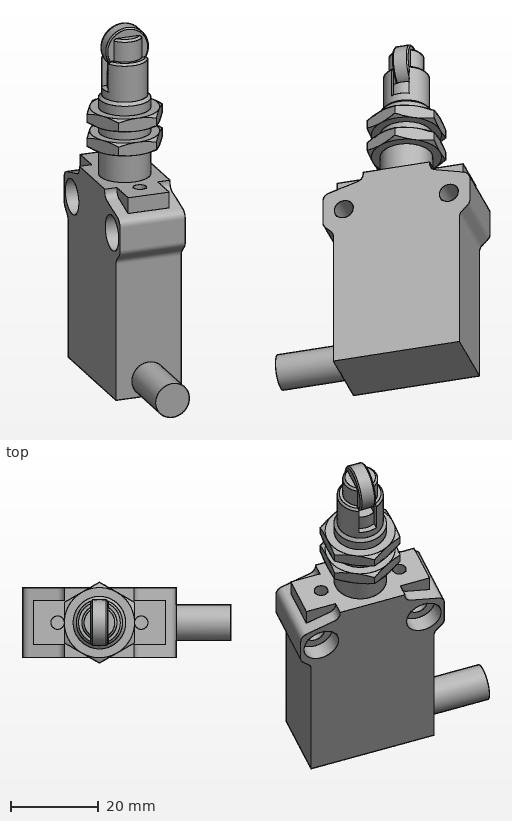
import cadquery as cq
import math


BODY_WIDTH = 30.0
BODY_DEPTH = 16.0
BODY_HEIGHT = 49.0
EAR_WIDTH = 35.0
EAR_CORNER_RADIUS = 2.0
EAR_TOP_Z = 44.45
EAR_BOTTOM_Z = 36.5
SHOULDER_SLOPE = 15
NECK_WIDTH = 15.8
PAD_DEPTH = 10.0

MOUNT_SPACING = 25.0
MOUNT_Z = 39.95
MOUNT_HOLE_DIAMETER = 4.5
COUNTERBORE_DIAMETER = 8.4
COUNTERBORE_DEPTH = 4.0
TOP_HOLE_SPACING = 19.0
TOP_HOLE_DIAMETER = 3.1
TOP_HOLE_DEPTH = 4.25

CABLE_DIAMETER = 8.25
CABLE_Z = 4.2
CABLE_LENGTH = 15.0

SLEEVE_DIAMETER = 12.0
SLEEVE_TOP_Z = 68.25
GUIDE_DIAMETER = 10.5
GUIDE_TOP_Z = 77.5
GUIDE_SLOT_WIDTH = 4.2
GUIDE_SLOT_FLOOR_Z = 70.1
EDGE_CHAMFER = 0.5

PLUNGER_DIAMETER = 8.0
PLUNGER_TOP_Z = 82.9
FORK_SLOT_WIDTH = 4.0
FORK_SLOT_FLOOR_Z = 73.9

ROLLER_DIAMETER = 10.45
ROLLER_WIDTH = 3.7
ROLLER_TOP_Z = 85
ROLLER_CHAMFER = 0.3

NUT_SIDES = 6
NUT_ACROSS_FLATS = 16.0
NUT_THICKNESS = 3.15
NUT_CHAMFER_ANGLE = 25
NUT_BOTTOMS_Z = (56.2, 62.05)


def cylinder(diameter, bottom, top):
    return cq.Workplane("XY").workplane(offset=bottom).circle(diameter / 2).extrude(top - bottom)


def slot_along_y(width, floor):
    """Cutter for a slot that runs along Y and is open above its floor."""
    height = ROLLER_TOP_Z - floor
    return cq.Workplane("XY").workplane(offset=floor).rect(width, BODY_DEPTH).extrude(height)


def make_housing():
    half_body = BODY_WIDTH / 2
    half_ear = EAR_WIDTH / 2
    half_neck = NECK_WIDTH / 2
    ear_overhang = half_ear - half_body
    shoulder_rise = (half_ear - half_neck) * math.tan(math.radians(SHOULDER_SLOPE))

    ear_corners = [
        (half_body, EAR_BOTTOM_Z - ear_overhang),
        (half_ear, EAR_BOTTOM_Z),
        (half_ear, EAR_TOP_Z),
        (half_neck, EAR_TOP_Z + shoulder_rise),
    ]
    right_side = [(half_body, 0), *ear_corners, (half_neck, BODY_HEIGHT)]
    left_side = [(-x, z) for x, z in reversed(right_side)]
    housing = (
        cq.Workplane("XZ")
        .polyline(right_side + left_side)
        .close()
        .extrude(BODY_DEPTH / 2, both=True)
    )
    reach = EAR_CORNER_RADIUS / 10
    for x, z in ear_corners:
        for side in (-1, 1):
            corner = cq.selectors.BoxSelector(
                (side * x - reach, -BODY_DEPTH, z - reach),
                (side * x + reach, BODY_DEPTH, z + reach),
            )
            housing = housing.edges("|Y").edges(corner).fillet(EAR_CORNER_RADIUS)

    pads = (
        cq.Workplane("XY")
        .workplane(offset=EAR_BOTTOM_Z)
        .rect(BODY_WIDTH, PAD_DEPTH)
        .extrude(BODY_HEIGHT - EAR_BOTTOM_Z)
    )
    housing = housing.union(pads)

    front = cq.Workplane("XZ", origin=(0, -BODY_DEPTH / 2, 0))
    mount_points = [(-MOUNT_SPACING / 2, MOUNT_Z), (MOUNT_SPACING / 2, MOUNT_Z)]
    mount_holes = front.pushPoints(mount_points).circle(MOUNT_HOLE_DIAMETER / 2).extrude(-BODY_DEPTH)
    counterbores = front.pushPoints(mount_points).circle(COUNTERBORE_DIAMETER / 2).extrude(-COUNTERBORE_DEPTH)
    top_holes = (
        cq.Workplane("XY")
        .workplane(offset=BODY_HEIGHT)
        .pushPoints([(-TOP_HOLE_SPACING / 2, 0), (TOP_HOLE_SPACING / 2, 0)])
        .circle(TOP_HOLE_DIAMETER / 2)
        .extrude(-TOP_HOLE_DEPTH)
    )
    return housing.cut(mount_holes).cut(counterbores).cut(top_holes)


def make_cable():
    start = (BODY_WIDTH / 2, 0, CABLE_Z)
    return cq.Workplane("YZ", origin=start).circle(CABLE_DIAMETER / 2).extrude(CABLE_LENGTH)


def make_bushing():
    step = (SLEEVE_DIAMETER - GUIDE_DIAMETER) / 2
    sleeve = cylinder(SLEEVE_DIAMETER, BODY_HEIGHT, SLEEVE_TOP_Z).faces(">Z").chamfer(step)
    guide = cylinder(GUIDE_DIAMETER, BODY_HEIGHT, GUIDE_TOP_Z).faces(">Z").chamfer(EDGE_CHAMFER)
    bore = cylinder(PLUNGER_DIAMETER, BODY_HEIGHT, GUIDE_TOP_Z)
    slot = slot_along_y(GUIDE_SLOT_WIDTH, GUIDE_SLOT_FLOOR_Z)
    return sleeve.union(guide).cut(bore).cut(slot)


def make_plunger():
    rod = cylinder(PLUNGER_DIAMETER, BODY_HEIGHT, PLUNGER_TOP_Z).faces(">Z").chamfer(EDGE_CHAMFER)
    return rod.cut(slot_along_y(FORK_SLOT_WIDTH, FORK_SLOT_FLOOR_Z))


def make_roller():
    side_center = (-ROLLER_WIDTH / 2, 0, ROLLER_TOP_Z - ROLLER_DIAMETER / 2)
    disc = cq.Workplane("YZ", origin=side_center).circle(ROLLER_DIAMETER / 2).extrude(ROLLER_WIDTH)
    return disc.edges().chamfer(ROLLER_CHAMFER)


def make_nut(bottom):
    """Hexagonal nut with corners toward +Y and -Y, chamfered conically on both faces."""
    half_sector = 180 / NUT_SIDES
    across_corners = NUT_ACROSS_FLATS / math.cos(math.radians(half_sector))
    hexagon = (
        cq.Workplane("XY")
        .polygon(NUT_SIDES, across_corners)
        .extrude(NUT_THICKNESS)
        .rotate((0, 0, 0), (0, 0, 1), half_sector)
    )
    face_radius = NUT_ACROSS_FLATS / 2
    corner_radius = across_corners / 2
    corner_drop = (corner_radius - face_radius) * math.tan(math.radians(NUT_CHAMFER_ANGLE))
    chamfer_limits = (
        cq.Workplane("XZ")
        .polyline([
            (0, 0),
            (face_radius, 0),
            (corner_radius, corner_drop),
            (corner_radius, NUT_THICKNESS - corner_drop),
            (face_radius, NUT_THICKNESS),
            (0, NUT_THICKNESS),
        ])
        .close()
        .revolve(360, (0, 0, 0), (0, 1, 0))
    )
    hole = cylinder(SLEEVE_DIAMETER, 0, NUT_THICKNESS)
    return hexagon.intersect(chamfer_limits).cut(hole).translate((0, 0, bottom))


housing = make_housing()
cable = make_cable()
bushing = make_bushing()
plunger = make_plunger()
roller = make_roller()
nuts = [make_nut(bottom) for bottom in NUT_BOTTOMS_Z]

result = cq.Compound.makeCompound([
    housing.val(),
    cable.val(),
    bushing.val(),
    plunger.val(),
    roller.val(),
    *[nut.val() for nut in nuts],
])